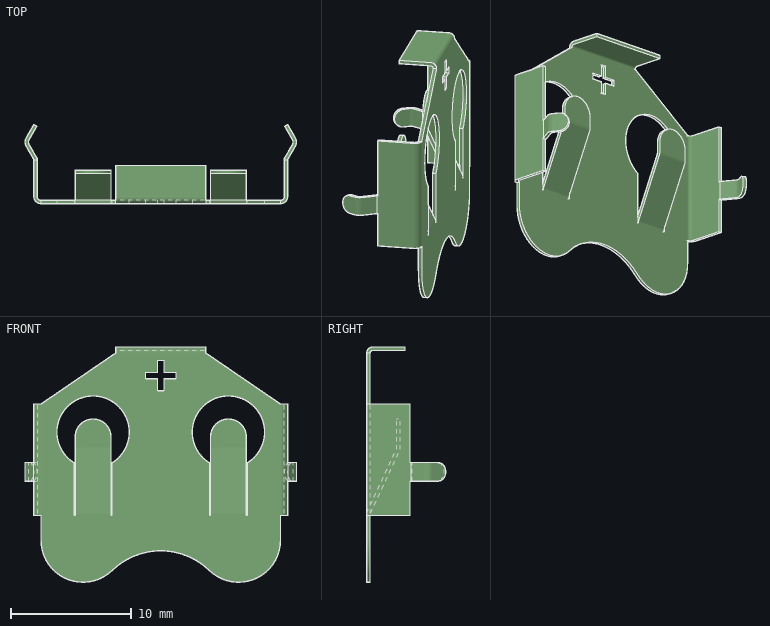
import cadquery as cq
import math


thickness = 0.3
half_width = 9.97
sheet_top = 19.09
lobe_radius = 3.5
scoop_top = 2.62

flange_width = 7.5
flange_depth = 3.2
flange_bend_radius = 0.2

leg_bottom = 5.55
leg_top = 14.84
leg_depth = 3.63
leg_bend_radius = 0.3

pin_width = 1.57
pin_center_z = 9.19
pin_angle = math.radians(30)
pin_bend_radius = 0.4
pin_peak_x = 11.3
pin_end_y = 6.6
pin_tip_run = 1.29

tongue_x = 5.63
tongue_width = 3.0
tongue_angle = math.radians(25)
tongue_start_z = 5.68
tongue_tip_z = 13.6
tongue_depth = 2.8
tongue_lower_bend_radius = 0.2
tongue_upper_bend_radius = 0.3
hole_radius = 3.0
hole_z = 12.5
slot_width = 3.12
slot_bottom = 5.6

plus_size = 2.5
plus_bar = 0.5
plus_z = 17.2


def on_circle(center, radius, angle):
    return (center[0] + radius * math.cos(angle), center[1] + radius * math.sin(angle))


def both_sides(body):
    return body.union(body.mirror("YZ"))


def front_plane():
    return cq.Workplane("XZ")


def make_sheet():
    lobe_x = half_width - lobe_radius
    rise = lobe_radius - scoop_top
    scoop_radius = (lobe_x**2 + rise**2 - lobe_radius**2) / (2 * (lobe_radius - rise))
    joint_angle = math.atan2(rise + scoop_radius, lobe_x)
    right_lobe = (lobe_x, lobe_radius)
    joint = on_circle(right_lobe, lobe_radius, math.pi + joint_angle)
    return (
        front_plane()
        .moveTo(flange_width / 2, sheet_top)
        .lineTo(half_width, leg_top)
        .lineTo(half_width, lobe_radius)
        .threePointArc((lobe_x, 0), joint)
        .threePointArc((0, scoop_top), (-joint[0], joint[1]))
        .threePointArc((-lobe_x, 0), (-half_width, lobe_radius))
        .lineTo(-half_width, leg_top)
        .lineTo(-flange_width / 2, sheet_top)
        .close()
        .extrude(-thickness)
    )


def bent_edge(plane, edge, depth, inner_radius, length):
    outer_radius = inner_radius + thickness
    center = (edge, outer_radius)
    diagonal = -math.pi / 4
    return (
        cq.Workplane(plane)
        .moveTo(edge, 0)
        .threePointArc(on_circle(center, outer_radius, diagonal), (edge + outer_radius, outer_radius))
        .lineTo(edge + outer_radius, depth)
        .lineTo(edge + inner_radius, depth)
        .lineTo(edge + inner_radius, outer_radius)
        .threePointArc(on_circle(center, inner_radius, diagonal), (edge, thickness))
        .close()
        .extrude(length / 2, both=True)
    )


def make_top_flange():
    plane = cq.Plane(origin=(0, 0, 0), xDir=(0, 0, 1), normal=(-1, 0, 0))
    return bent_edge(plane, sheet_top, flange_depth, flange_bend_radius, flange_width)


def make_leg():
    plane = cq.Plane(origin=(0, 0, (leg_bottom + leg_top) / 2))
    return bent_edge(plane, half_width, leg_depth, leg_bend_radius, leg_top - leg_bottom)


def make_pin():
    outer_radius = pin_bend_radius + thickness
    tip_reach = outer_radius * math.sin(pin_angle)
    center = (pin_peak_x - outer_radius, pin_end_y - tip_reach - pin_tip_run * math.cos(pin_angle))
    outer_low = on_circle(center, outer_radius, -pin_angle)
    outer_high = on_circle(center, outer_radius, pin_angle)
    inner_low = on_circle(center, pin_bend_radius, -pin_angle)
    inner_high = on_circle(center, pin_bend_radius, pin_angle)
    slope = math.tan(pin_angle)
    leg_inner_x = half_width + leg_bend_radius
    leg_outer_x = leg_inner_x + thickness
    outer_corner_y = outer_low[1] - (outer_low[0] - leg_outer_x) / slope
    inner_corner_y = inner_low[1] - (inner_low[0] - leg_inner_x) / slope
    root = (
        cq.Workplane("XY", origin=(0, 0, pin_center_z))
        .moveTo(leg_inner_x, leg_depth)
        .lineTo(leg_outer_x, leg_depth)
        .lineTo(leg_outer_x, outer_corner_y)
        .lineTo(*outer_low)
        .threePointArc((pin_peak_x, center[1]), outer_high)
        .lineTo(*inner_high)
        .threePointArc((center[0] + pin_bend_radius, center[1]), inner_low)
        .lineTo(leg_inner_x, inner_corner_y)
        .close()
        .extrude(pin_width / 2, both=True)
    )
    blade_plane = cq.Plane(
        origin=(inner_high[0], inner_high[1], pin_center_z),
        xDir=(-math.sin(pin_angle), math.cos(pin_angle), 0),
        normal=(math.cos(pin_angle), math.sin(pin_angle), 0),
    )
    half = pin_width / 2
    blade = (
        cq.Workplane(blade_plane)
        .moveTo(0, -half)
        .lineTo(pin_tip_run - half, -half)
        .threePointArc((pin_tip_run, 0), (pin_tip_run - half, half))
        .lineTo(0, half)
        .close()
        .extrude(thickness)
    )
    return root.union(blade)


def make_opening():
    hole = front_plane().center(tongue_x, hole_z).circle(hole_radius).extrude(-thickness)
    slot_height = hole_z - slot_bottom
    slot = (
        front_plane()
        .center(tongue_x, slot_bottom + slot_height / 2)
        .rect(slot_width, slot_height)
        .extrude(-thickness)
    )
    return hole.union(slot)


def make_plus():
    bars = front_plane().center(0, plus_z).rect(plus_size, plus_bar).extrude(-thickness)
    return bars.union(front_plane().center(0, plus_z).rect(plus_bar, plus_size).extrude(-thickness))


def make_tongue():
    low_inner = tongue_lower_bend_radius
    low_outer = low_inner + thickness
    high_inner = tongue_upper_bend_radius
    high_outer = high_inner + thickness
    turn = tongue_angle
    front_y = tongue_depth - thickness
    ramp_depth = front_y - (low_outer + high_inner) * (1 - math.cos(turn))
    ramp_height = ramp_depth / math.tan(turn)
    upper_z = tongue_start_z + (low_outer + high_inner) * math.sin(turn) + ramp_height
    low = (low_outer, tongue_start_z)
    high = (front_y - high_inner, upper_z)
    from_low = math.pi - turn
    from_low_mid = math.pi - turn / 2
    side = (
        cq.Workplane("YZ", origin=(tongue_x, 0, 0))
        .moveTo(0, slot_bottom)
        .lineTo(0, tongue_start_z)
        .threePointArc(on_circle(low, low_outer, from_low_mid), on_circle(low, low_outer, from_low))
        .lineTo(*on_circle(high, high_inner, -turn))
        .threePointArc(on_circle(high, high_inner, -turn / 2), (front_y, upper_z))
        .lineTo(front_y, tongue_tip_z)
        .lineTo(tongue_depth, tongue_tip_z)
        .lineTo(tongue_depth, upper_z)
        .threePointArc(on_circle(high, high_outer, -turn / 2), on_circle(high, high_outer, -turn))
        .lineTo(*on_circle(low, low_inner, from_low))
        .threePointArc(on_circle(low, low_inner, from_low_mid), (thickness, tongue_start_z))
        .lineTo(thickness, slot_bottom)
        .close()
        .extrude(tongue_width / 2, both=True)
    )
    left = tongue_x - tongue_width / 2
    right = tongue_x + tongue_width / 2
    shoulder_z = tongue_tip_z - tongue_width / 2
    outline = (
        front_plane()
        .moveTo(left, slot_bottom)
        .lineTo(left, shoulder_z)
        .threePointArc((tongue_x, tongue_tip_z), (right, shoulder_z))
        .lineTo(right, slot_bottom)
        .close()
        .extrude(-tongue_depth)
    )
    return side.intersect(outline)


sheet = make_sheet().cut(both_sides(make_opening())).cut(make_plus())
leg_with_pin = make_leg().union(make_pin())
result = (
    sheet.union(make_top_flange())
    .union(both_sides(leg_with_pin))
    .union(both_sides(make_tongue()))
)